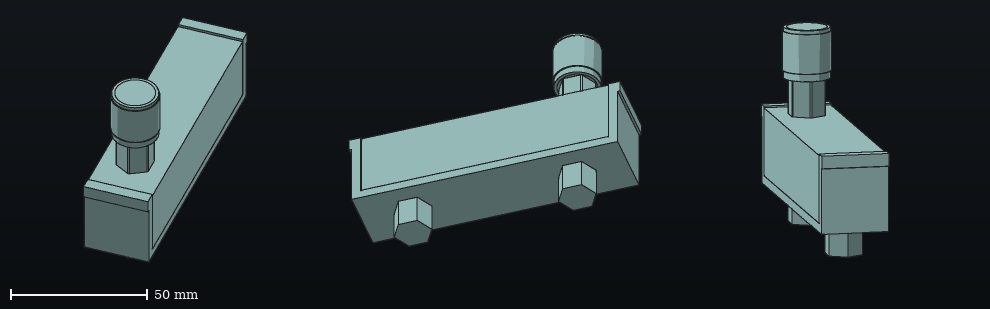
import cadquery as cq
import math

overall_length = 104.8
width = 25.4
lip_overhang = 0.9
lip_height = 4.8
wall_thickness = 3.6
floor_thickness = 3.5
frame_height = 29.5

end_gap = 0.4
block_drop = 0.6

hex_across_flats = 12.7
hex_across_corners = hex_across_flats / math.cos(math.pi / 6)
post_spacing = 63.5
foot_height = 11.4
stem_height = 13.8
stem_diameter = 14.3

knob_diameter = 18.2
knob_end_diameter = 17.4
knob_bottom_band = 2.8
knob_grip_height = 14.9
knob_top_band = 1.4
core_diameter = 15.0

frame_top = foot_height + frame_height
floor_top = foot_height + floor_thickness
block_top = frame_top - block_drop
knob_bottom = block_top + stem_height
knob_height = knob_bottom_band + knob_grip_height + knob_top_band
outer_y = overall_length / 2
wall_outer_y = outer_y - lip_overhang
wall_inner_y = wall_outer_y - wall_thickness
foot_places = [-post_spacing / 2, post_spacing / 2]
stem_y = foot_places[0]


def make_frame():
    lip_bottom = frame_top - lip_height
    half_outline = [
        (wall_outer_y, foot_height),
        (wall_outer_y, lip_bottom),
        (outer_y, lip_bottom),
        (outer_y, frame_top),
        (wall_inner_y, frame_top),
        (wall_inner_y, floor_top),
    ]
    mirrored = [(-y, z) for y, z in reversed(half_outline)]
    outline = half_outline + mirrored
    return cq.Workplane("YZ").polyline(outline).close().extrude(width / 2, both=True)


def make_block():
    """Block on the frame floor, pushed against the -Y wall."""
    length = 2 * wall_inner_y - end_gap
    return (
        cq.Workplane("XY")
        .box(width, length, block_top - floor_top, centered=(True, True, False))
        .translate((0, -end_gap / 2, floor_top))
    )


def make_hex_bar(y, bottom, height):
    """Upright hexagonal bar with two of its corners on the Y axis."""
    return (
        cq.Workplane("XY")
        .polygon(6, hex_across_corners)
        .extrude(height)
        .rotate((0, 0, 0), (0, 0, 1), 90)
        .translate((0, y, bottom))
    )


def make_cylinder(diameter, y, bottom, height):
    return (
        cq.Workplane("XY", origin=(0, y, bottom))
        .circle(diameter / 2)
        .extrude(height)
    )


def make_stem():
    """Hexagonal stem with its corners turned to a round envelope."""
    hex_bar = make_hex_bar(stem_y, block_top, stem_height)
    envelope = make_cylinder(stem_diameter, stem_y, block_top, stem_height)
    return hex_bar.intersect(envelope)


def make_core():
    """Core that fills the knob bore, flush at both ends."""
    return make_cylinder(core_diameter, stem_y, knob_bottom, knob_height)


def make_knob():
    """Knob with a wide grip between two narrower end bands, bored for the core."""
    bands = make_cylinder(knob_end_diameter, stem_y, knob_bottom, knob_height)
    grip_bottom = knob_bottom + knob_bottom_band
    grip = make_cylinder(knob_diameter, stem_y, grip_bottom, knob_grip_height)
    return bands.union(grip).cut(make_core())


frame = make_frame()
block = make_block()
feet = [make_hex_bar(y, 0, foot_height) for y in foot_places]
stem = make_stem()
knob = make_knob()
core = make_core()

result = cq.Compound.makeCompound([
    frame.val(),
    block.val(),
    *[foot.val() for foot in feet],
    stem.val(),
    knob.val(),
    core.val(),
])